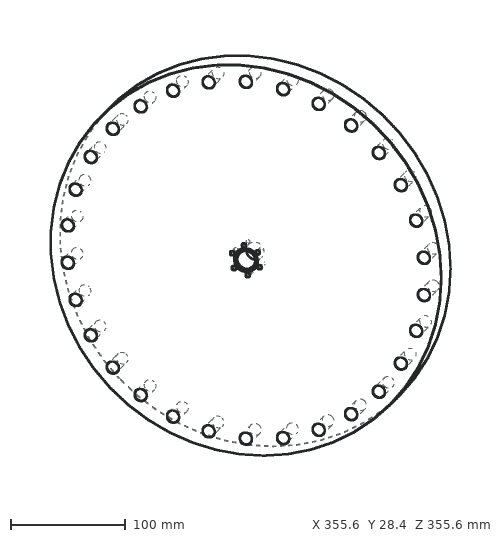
import cadquery as cq
import math

flange_diameter = 355.6
flange_thickness = 28.4
edge_chamfer = 0.5

bolt_count = 30
bolt_circle_diameter = 325.4
bolt_hole_diameter = 10.6
bolt_hole_chamfer = 0.4
bolt_start_angle = 90.0

bore_diameter = 16.0
recess_diameter = 21.4
knife_diameter = 18.3
knife_tip_depth = 0.7
seal_slope_angle = 20.0
inner_floor_depth = 1.3

port_hole_count = 6
port_circle_diameter = 27.0
port_hole_diameter = 3.3
port_hole_chamfer = 0.5
port_hole_depth = 12.0
drill_point_angle = 118.0
port_start_angle = 97.0

front_y = -flange_thickness / 2


def make_disc():
    """Solid disc centred on the origin with both rims chamfered."""
    disc = (
        cq.Workplane("XZ", origin=(0, front_y, 0))
        .circle(flange_diameter / 2)
        .extrude(-flange_thickness)
    )
    return disc.faces("<Y or >Y").chamfer(edge_chamfer)


def make_hole_cutter(hole_diameter, mouth_chamfer, depth, tip_depth=0.0):
    """Revolved cutter for a hole along +Y from y = 0: chamfered mouth, optional conical tip."""
    hole_radius = hole_diameter / 2
    return (
        cq.Workplane("XY")
        .moveTo(0, 0)
        .lineTo(hole_radius + mouth_chamfer, 0)
        .lineTo(hole_radius, mouth_chamfer)
        .lineTo(hole_radius, depth)
        .lineTo(0, depth + tip_depth)
        .close()
        .revolve(360, (0, 0, 0), (0, 1, 0))
    )


def cut_hole_ring(body, cutter, count, circle_diameter, start_angle):
    """Cut evenly spaced copies of the cutter into the front face, on a circle around the axis."""
    for index in range(count):
        angle = math.radians(start_angle + index * 360 / count)
        x = circle_diameter / 2 * math.cos(angle)
        z = circle_diameter / 2 * math.sin(angle)
        body = body.cut(cutter.translate((x, front_y, z)))
    return body


def make_port_cutter():
    """Revolved cutter for the bore, the knife edge and the sloped seal recess."""
    bore_radius = bore_diameter / 2
    recess_radius = recess_diameter / 2
    knife_radius = knife_diameter / 2
    slope_drop = (recess_radius - knife_radius) * math.tan(math.radians(seal_slope_angle))
    knife_y = front_y + knife_tip_depth
    return (
        cq.Workplane("XY")
        .moveTo(0, front_y)
        .lineTo(recess_radius, front_y)
        .lineTo(recess_radius, knife_y + slope_drop)
        .lineTo(knife_radius, knife_y)
        .lineTo(knife_radius, front_y + inner_floor_depth)
        .lineTo(bore_radius, front_y + inner_floor_depth)
        .lineTo(bore_radius, -front_y)
        .lineTo(0, -front_y)
        .close()
        .revolve(360, (0, 0, 0), (0, 1, 0))
    )


bolt_hole = make_hole_cutter(bolt_hole_diameter, bolt_hole_chamfer, flange_thickness)
drill_tip_depth = port_hole_diameter / 2 / math.tan(math.radians(drill_point_angle / 2))
port_hole = make_hole_cutter(port_hole_diameter, port_hole_chamfer, port_hole_depth, drill_tip_depth)

flange = make_disc()
flange = cut_hole_ring(flange, bolt_hole, bolt_count, bolt_circle_diameter, bolt_start_angle)
flange = cut_hole_ring(flange, port_hole, port_hole_count, port_circle_diameter, port_start_angle)
result = flange.cut(make_port_cutter())